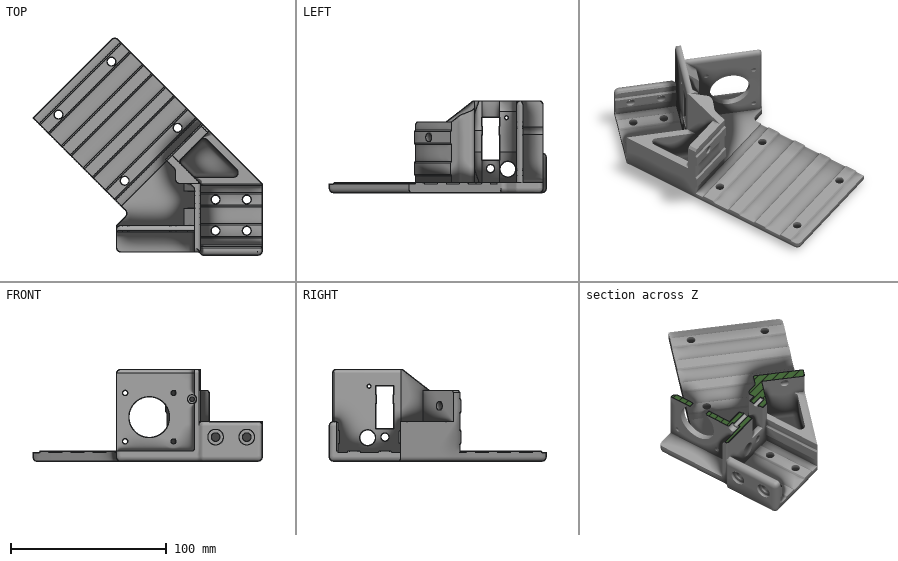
import cadquery as cq
import math

SLOT_PITCH = 20.0
SEAT_Z = 5.5
FLOOR_Z = 6.5
RIB_HEIGHT = FLOOR_Z - SEAT_Z
RIB_BASE = 9.3
RIB_TOP = RIB_BASE - 2 * RIB_HEIGHT
BOLT_DIA = 5.5
BOLT_HEAD_DIA = 10.0
BOLT_HEAD_DEPTH = 2.0
SEAT_WALL = 5.76
EDGE_RADIUS = 3.0
BASE_RADIUS = 2.9
EDGE_CHAMFER = 1.0

ARM_ANGLE = 45.0
ARM_NEAR = 23.1
ARM_WIDTH = 74.0
ARM_FAR = ARM_NEAR + ARM_WIDTH
ARM_START = 18.6
ARM_SLOTS = 4
ARM_END = ARM_START + ARM_SLOTS * SLOT_PITCH
ARM_BOLT_SPREAD = 48.0
ARM_BOLTS = [(ARM_NEAR + ARM_FAR + side * ARM_BOLT_SPREAD) / 2 for side in (-1, 1)]
NOTCH_RADIUS = 3.0
NOTCH_LIP_RADIUS = 1.75

TOP_Z = 59.0
PLATE_FRONT = 13.0
PLATE_BACK = 17.0
PLATE_FRONT_BEVEL_Y = 1.0
PLATE_FRONT_BEVEL_Z = 2.4
PLATE_BACK_RADIUS = 2.8
SIDE_INNER = 50.1
SIDE_OUTER = 53.8
SIDE_END = 44.0
SIDE_TOP_RADIUS = 2.6
SHELF_FILLET = 1.8
MOTOR_X = 21.1
MOTOR_Z = 28.3
MOTOR_BORE = 26.0
MOTOR_BOLT_PITCH = 31.0
MOTOR_BOLT_DIA = 3.2

RAIL_START = 53.57
RAIL_SLOTS = 2
RAIL_LENGTH = RAIL_SLOTS * SLOT_PITCH
RAIL_END = RAIL_START + RAIL_LENGTH
RAIL_FRONT = 3.7
RAIL_FACE = RAIL_FRONT - SEAT_WALL
RAIL_SLOTS_Y = [RAIL_FRONT + SLOT_PITCH * (i + 0.5) for i in range(RAIL_SLOTS)]
RAIL_SLOTS_X = [RAIL_START + SLOT_PITCH * (i + 0.5) for i in range(RAIL_SLOTS)]
RAIL_TOP = SEAT_Z + SLOT_PITCH
RAIL_SLOT_Z = SEAT_Z + SLOT_PITCH / 2
STEP_START = 53.0
STEP_END = STEP_START - RAIL_FACE
STEP_RADIUS = 1.75
RAIL_BACK = ARM_FAR * math.sqrt(2) - RAIL_END

UPRIGHT_NEAR = 64.3
UPRIGHT_SLOTS = 2
UPRIGHT_TOP = SEAT_Z + UPRIGHT_SLOTS * SLOT_PITCH
UPRIGHT_BACK = ARM_START - SEAT_WALL
UPRIGHT_SLOTS_Z = [SEAT_Z + SLOT_PITCH * (i + 0.5) for i in range(UPRIGHT_SLOTS)]
UPRIGHT_CHAMFER = 1.5

LINK_FACE_X = 37.8
LINK_FAR = (SIDE_OUTER + SIDE_END) / math.sqrt(2)
LINK_RADIUS = 3.0
LINK_SLOPE = 0.55

POCKET_REAR_RIM = 4.2
POCKET_SIDE_RIM = 5.0
POCKET_CORNER = 3.0
POCKET_FLOOR_RADIUS = 2.8

PAD_FACE = 43.2
PAD_LOW_Z = 26.0
FRONT_PAD_HIGH_Z = TOP_Z - (SIDE_INNER - PAD_FACE)
BACK_PAD_HIGH_Z = 40.0
WINDOW_FRONT = 27.8
WINDOW_BACK = 39.2
WINDOW_LOW = 20.9
WINDOW_HIGH = 48.4
PAD_CORNER = 3.0
AXLE_X = 48.5
AXLE_Z = 39.8
AXLE_DIA = 3.0
AXLE_HEAD_DIA = 5.8
AXLE_HEAD_END = PLATE_BACK
AXLE_END = 46.0
WASHER_DIA = 5.5
WASHER_HEIGHT = 0.5

SIDE_HOLES = [
    (22.6, 15.1, 10.0),
    (RAIL_SLOTS_Y[1], RAIL_SLOT_Z, 5.1),
    (23.5, 48.1, 2.35),
]


def block(x0, x1, y0, y1, z0, z1):
    return cq.Workplane("XY").box(x1 - x0, y1 - y0, z1 - z0, centered=False).translate((x0, y0, z0))


def prism(points, z0, z1):
    return cq.Workplane("XY").workplane(offset=z0).polyline(points).close().extrude(z1 - z0)


def cylinder(diameter, start, end):
    axis = cq.Vector(*end) - cq.Vector(*start)
    return cq.Workplane(cq.Solid.makeCylinder(diameter / 2, axis.Length, cq.Vector(*start), axis))


def turned(shape):
    """Move a shape from the arm frame into the global frame."""
    return shape.rotate((0, 0, 0), (0, 0, 1), ARM_ANGLE)


def round_uprights(shape, corners):
    """Fillet vertical edges, given as ((x, y), radius)."""
    middle = shape.val().BoundingBox().center.z
    for (x, y), radius in corners:
        shape = shape.edges("|Z").edges(cq.selectors.NearestToPointSelector((x, y, middle))).fillet(radius)
    return shape


def arm_point(across, along):
    """Global (x, y) of a point given in the arm frame."""
    return ((across - along) / math.sqrt(2), (across + along) / math.sqrt(2))


def rib(start, run, side, outward):
    """Slot key: `run` is its full length, `side` a unit vector across it."""
    start, run, side, outward = (cq.Vector(*v) for v in (start, run, side, outward))
    rise = outward * RIB_HEIGHT
    corners = [
        start - side * (RIB_BASE / 2),
        start + side * (RIB_BASE / 2),
        start + side * (RIB_TOP / 2) + rise,
        start - side * (RIB_TOP / 2) + rise,
    ]
    face = cq.Face.makeFromWires(cq.Wire.makePolygon(corners, close=True))
    return cq.Workplane(cq.Solid.extrudeLinear(face, run))


def base_plate():
    near_end = arm_point(ARM_NEAR, ARM_END)
    far_end = arm_point(ARM_FAR, ARM_END)
    notch = arm_point(ARM_NEAR, PLATE_BACK / math.sqrt(2))
    outline = [
        (0, 0),
        (STEP_START, 0),
        (STEP_END, RAIL_FACE),
        (RAIL_END, RAIL_FACE),
        (RAIL_END, RAIL_BACK),
        far_end,
        near_end,
        notch,
        (0, PLATE_BACK),
    ]
    corners = [
        ((0, 0), EDGE_RADIUS),
        ((RAIL_END, RAIL_FACE), EDGE_RADIUS),
        (far_end, EDGE_RADIUS),
        (notch, NOTCH_RADIUS),
        ((0, PLATE_BACK), NOTCH_LIP_RADIUS),
        ((STEP_START, 0), STEP_RADIUS),
        ((STEP_END, RAIL_FACE), STEP_RADIUS),
    ]
    plate = round_uprights(prism(outline, 0, FLOOR_Z), corners)
    plate = plate.faces("<Z").edges().fillet(BASE_RADIUS)
    return plate.union(square_edge())


def square_edge():
    """Restore the sharp bottom edge along the near side of the arm."""
    start = PLATE_BACK / math.sqrt(2) + NOTCH_RADIUS
    strip = block(ARM_NEAR, ARM_NEAR + EDGE_RADIUS, start, ARM_END, 0, SEAT_Z)
    return turned(strip.edges("|X and >Y and <Z").fillet(BASE_RADIUS))


def cut_seats(body):
    arm = turned(block(0, ARM_FAR + SEAT_WALL, ARM_START, ARM_END + SEAT_WALL, SEAT_Z, TOP_Z))
    rail = block(RAIL_START, RAIL_END, RAIL_FRONT, RAIL_BACK, SEAT_Z, FLOOR_Z)
    return body.cut(arm).cut(rail)


def seat_ribs():
    ribs = []
    for i in range(ARM_SLOTS):
        along = ARM_START + SLOT_PITCH * (i + 0.5)
        ribs.append(turned(rib((ARM_NEAR, along, SEAT_Z), (ARM_WIDTH, 0, 0), (0, 1, 0), (0, 0, 1))))
    for z in UPRIGHT_SLOTS_Z:
        length = ARM_FAR - UPRIGHT_NEAR
        ribs.append(turned(rib((UPRIGHT_NEAR, ARM_START, z), (length, 0, 0), (0, 0, 1), (0, 1, 0))))
    run = (RAIL_LENGTH, 0, 0)
    for y in RAIL_SLOTS_Y:
        ribs.append(rib((RAIL_START, y, SEAT_Z), run, (0, 1, 0), (0, 0, 1)))
    ribs.append(rib((RAIL_START, RAIL_FRONT, RAIL_SLOT_Z), run, (0, 0, 1), (0, 1, 0)))
    ribs.append(rib((RAIL_START, RAIL_BACK, RAIL_SLOT_Z), run, (0, 0, 1), (0, -1, 0)))
    return ribs


def motor_plate():
    plate = block(0, SIDE_INNER, PLATE_FRONT, PLATE_BACK, EDGE_RADIUS, TOP_Z)
    plate = plate.edges("|Y and <X and >Z").fillet(EDGE_RADIUS)
    plate = plate.faces(">Y").edges(">Z").fillet(PLATE_BACK_RADIUS)
    bevel = (
        cq.Workplane("YZ")
        .polyline(
            [
                (PLATE_FRONT, TOP_Z),
                (PLATE_FRONT + PLATE_FRONT_BEVEL_Y, TOP_Z),
                (PLATE_FRONT, TOP_Z - PLATE_FRONT_BEVEL_Z),
            ]
        )
        .close()
        .extrude(SIDE_INNER)
    )
    return plate.cut(bevel)


def side_wall():
    """Slab rounded along its outer top edge and front top corner, bevelled on its outer front edge."""
    slab = block(SIDE_INNER, SIDE_OUTER, 0, SIDE_END, EDGE_RADIUS, TOP_Z)
    outer_round = slab.edges("|Y and >X and >Z").fillet(SIDE_TOP_RADIUS)
    front_round = slab.edges("|X and <Y and >Z").fillet(SIDE_TOP_RADIUS)
    front_bevel = slab.edges("|Z and >X and <Y").chamfer(EDGE_CHAMFER)
    return outer_round.intersect(front_round).intersect(front_bevel)


def shelf_fillet():
    """Concave strip where the front shelf meets the side wall."""
    strip = block(SIDE_INNER - SHELF_FILLET, SIDE_INNER, 0, PLATE_FRONT, FLOOR_Z, FLOOR_Z + SHELF_FILLET)
    centre = (SIDE_INNER - SHELF_FILLET, FLOOR_Z + SHELF_FILLET)
    hollow = cylinder(2 * SHELF_FILLET, (centre[0], 0, centre[1]), (centre[0], PLATE_FRONT, centre[1]))
    return strip.cut(hollow)


def rail_front_wall():
    outline = [
        (SIDE_INNER, 0),
        (STEP_START, 0),
        (STEP_END, RAIL_FACE),
        (RAIL_END, RAIL_FACE),
        (RAIL_END, RAIL_FRONT),
        (SIDE_INNER, RAIL_FRONT),
    ]
    wall = round_uprights(
        prism(outline, EDGE_RADIUS, RAIL_TOP),
        [
            ((STEP_START, 0), STEP_RADIUS),
            ((STEP_END, RAIL_FACE), STEP_RADIUS),
            ((RAIL_END, RAIL_FACE), EDGE_RADIUS),
        ],
    )
    wall = wall.faces("<Y").edges(">Z").fillet(BASE_RADIUS)
    return wall.edges("|X and >Y and >Z").chamfer(EDGE_CHAMFER)


def upright_plate():
    plate = block(UPRIGHT_NEAR, ARM_FAR, UPRIGHT_BACK, ARM_START, SEAT_Z, UPRIGHT_TOP)
    return turned(plate.edges("|Y and >X and >Z").chamfer(UPRIGHT_CHAMFER))


def link_wall():
    near = arm_point(UPRIGHT_NEAR, ARM_START)
    bend = (LINK_FACE_X, UPRIGHT_NEAR * math.sqrt(2) - LINK_FACE_X)
    corner = (LINK_FACE_X, SIDE_END)
    wall = prism([near, bend, corner, (SIDE_OUTER, SIDE_END), arm_point(LINK_FAR, ARM_START)], SEAT_Z, TOP_Z)
    wall = round_uprights(wall, [(bend, LINK_RADIUS), (corner, LINK_RADIUS)])
    crest = ARM_START - (TOP_Z - UPRIGHT_TOP) / LINK_SLOPE
    slope = (
        cq.Workplane("YZ")
        .polyline([(ARM_START, UPRIGHT_TOP), (crest, TOP_Z), (ARM_START, TOP_Z)])
        .close()
        .extrude(ARM_FAR)
    )
    return wall.cut(turned(slope))


def gusset():
    inner = (SIDE_OUTER, RAIL_BACK)
    body = prism(
        [inner, (RAIL_END, RAIL_BACK), arm_point(ARM_FAR, UPRIGHT_BACK), arm_point(LINK_FAR, UPRIGHT_BACK)],
        SEAT_Z,
        RAIL_TOP,
    )
    rim_y = RAIL_BACK + POCKET_REAR_RIM
    rim_far = ARM_FAR - POCKET_SIDE_RIM
    pocket = prism(
        [
            (LINK_FAR * math.sqrt(2) - rim_y, rim_y),
            (rim_far * math.sqrt(2) - rim_y, rim_y),
            arm_point(rim_far, UPRIGHT_BACK),
            arm_point(LINK_FAR, UPRIGHT_BACK),
        ],
        FLOOR_Z,
        RAIL_TOP,
    )
    pocket = pocket.edges("|Z").fillet(POCKET_CORNER).faces("<Z").edges().fillet(POCKET_FLOOR_RADIUS)
    return body.cut(pocket)


def pad(front, back, high_z):
    """Thick pad whose face tapers back to the wall above and below."""
    profile = [(SIDE_INNER, FLOOR_Z), (SIDE_INNER, TOP_Z), (PAD_FACE, high_z), (PAD_FACE, PAD_LOW_Z)]
    return cq.Workplane("XZ", origin=(0, front, 0)).polyline(profile).close().extrude(front - back)


def pads():
    """Both pads and the slanted corner between the wall and the link."""
    corner = prism(
        [
            (SIDE_INNER, SIDE_END),
            (SIDE_INNER - PAD_CORNER, SIDE_END),
            (SIDE_INNER, SIDE_END - PAD_CORNER),
        ],
        FLOOR_Z,
        TOP_Z,
    )
    front_pad = pad(PLATE_BACK, WINDOW_FRONT, FRONT_PAD_HIGH_Z)
    back_pad = pad(WINDOW_BACK, SIDE_END, BACK_PAD_HIGH_Z)
    return [front_pad, back_pad, corner]


def washers():
    spots = [(WINDOW_FRONT, WINDOW_FRONT + WASHER_HEIGHT), (WINDOW_BACK - WASHER_HEIGHT, WINDOW_BACK)]
    return [cylinder(WASHER_DIA, (AXLE_X, y0, AXLE_Z), (AXLE_X, y1, AXLE_Z)) for y0, y1 in spots]


def motor_holes():
    holes = [cylinder(MOTOR_BORE, (MOTOR_X, PLATE_FRONT, MOTOR_Z), (MOTOR_X, PLATE_BACK, MOTOR_Z))]
    for dx in (-MOTOR_BOLT_PITCH / 2, MOTOR_BOLT_PITCH / 2):
        for dz in (-MOTOR_BOLT_PITCH / 2, MOTOR_BOLT_PITCH / 2):
            x, z = MOTOR_X + dx, MOTOR_Z + dz
            holes.append(cylinder(MOTOR_BOLT_DIA, (x, PLATE_FRONT, z), (x, PLATE_BACK, z)))
    return holes


def seat_bolts():
    holes = []
    for across in ARM_BOLTS:
        for slot in (0, ARM_SLOTS - 1):
            x, y = arm_point(across, ARM_START + SLOT_PITCH * (slot + 0.5))
            holes.append(cylinder(BOLT_DIA, (x, y, 0), (x, y, FLOOR_Z)))
    for x in RAIL_SLOTS_X:
        for y in RAIL_SLOTS_Y:
            holes.append(cylinder(BOLT_DIA, (x, y, 0), (x, y, FLOOR_Z)))
        face = (x, RAIL_FACE, RAIL_SLOT_Z)
        holes.append(cylinder(BOLT_DIA, face, (x, RAIL_FRONT + RIB_HEIGHT, RAIL_SLOT_Z)))
        holes.append(cylinder(BOLT_HEAD_DIA, face, (x, RAIL_FACE + BOLT_HEAD_DEPTH, RAIL_SLOT_Z)))
    upper = UPRIGHT_SLOTS_Z[-1]
    start = (ARM_BOLTS[-1], UPRIGHT_BACK, upper)
    holes.append(turned(cylinder(BOLT_DIA, start, (ARM_BOLTS[-1], ARM_START + RIB_HEIGHT, upper))))
    return holes


def side_wall_holes():
    holes = [cylinder(d, (PAD_FACE, y, z), (SIDE_OUTER, y, z)) for y, z, d in SIDE_HOLES]
    holes.append(cylinder(AXLE_DIA, (AXLE_X, 0, AXLE_Z), (AXLE_X, AXLE_END, AXLE_Z)))
    holes.append(cylinder(AXLE_HEAD_DIA, (AXLE_X, 0, AXLE_Z), (AXLE_X, AXLE_HEAD_END, AXLE_Z)))
    return holes


def build():
    body = cut_seats(base_plate())
    walls = [
        motor_plate(),
        side_wall(),
        shelf_fillet(),
        rail_front_wall(),
        upright_plate(),
        link_wall(),
        gusset(),
    ]
    for piece in walls + pads() + seat_ribs():
        body = body.union(piece)
    body = body.cut(block(PAD_FACE, SIDE_OUTER, WINDOW_FRONT, WINDOW_BACK, WINDOW_LOW, WINDOW_HIGH))
    for piece in washers():
        body = body.union(piece)
    for hole in motor_holes() + seat_bolts() + side_wall_holes():
        body = body.cut(hole)
    return cq.Workplane(body.solids().val())


result = build()